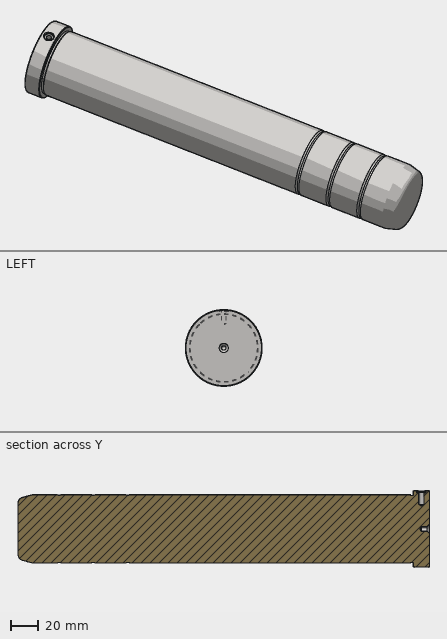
import cadquery as cq
import math

LENGTH = 300.0
BODY_RADIUS = 25.0
COLLAR_RADIUS = 28.0
COLLAR_LENGTH = 12.0
COLLAR_CHAMFER = 0.5

RELIEF_LENGTH = 2.0
RELIEF_DEPTH = 0.5
RELIEF_RUNOUT = 0.5

TAPER_START = 289.3
TAPER_ANGLE = math.radians(15)
RIM_ROUND = 4.5

GROOVE_COUNT = 3
FIRST_GROOVE_X = 220.0
GROOVE_PITCH = 25.0
GROOVE_WIDTH = 3.0
GROOVE_DEPTH = 0.5

CENTER_HOLE_DIAMETER = 3.2
CENTER_MOUTH_DIAMETER = 6.7
CENTER_CONE_ANGLE = math.radians(90)
CENTER_HOLE_DEPTH = 6.0

RIM_BORE_DIAMETER = 6.6
RIM_MOUTH_DIAMETER = 8.0
RIM_CONE_ANGLE = math.radians(90)
RIM_BORE_DEPTH = 1.5
RIM_PILOT_DIAMETER = 3.6
RIM_PILOT_DEPTH = 10.0

DRILL_POINT_ANGLE = math.radians(118)


def pillar():
    relief_radius = BODY_RADIUS - RELIEF_DEPTH
    relief_end = COLLAR_LENGTH + RELIEF_LENGTH

    rim_center_x = LENGTH - RIM_ROUND
    rim_start_x = rim_center_x + RIM_ROUND * math.sin(TAPER_ANGLE)
    rim_start_r = BODY_RADIUS - (rim_start_x - TAPER_START) * math.tan(TAPER_ANGLE)
    rim_center_r = rim_start_r - RIM_ROUND * math.cos(TAPER_ANGLE)
    middle_angle = (TAPER_ANGLE + math.pi / 2) / 2
    rim_middle = (
        rim_center_x + RIM_ROUND * math.sin(middle_angle),
        rim_center_r + RIM_ROUND * math.cos(middle_angle),
    )

    profile = (
        cq.Workplane("XZ")
        .lineTo(0, COLLAR_RADIUS - COLLAR_CHAMFER)
        .lineTo(COLLAR_CHAMFER, COLLAR_RADIUS)
        .lineTo(COLLAR_LENGTH - COLLAR_CHAMFER, COLLAR_RADIUS)
        .lineTo(COLLAR_LENGTH, COLLAR_RADIUS - COLLAR_CHAMFER)
        .lineTo(COLLAR_LENGTH, relief_radius)
        .lineTo(relief_end - RELIEF_RUNOUT, relief_radius)
        .lineTo(relief_end, BODY_RADIUS)
        .lineTo(TAPER_START, BODY_RADIUS)
        .lineTo(rim_start_x, rim_start_r)
        .threePointArc(rim_middle, (LENGTH, rim_center_r))
        .lineTo(LENGTH, 0)
        .close()
    )
    return profile.revolve(360, (0, 0, 0), (1, 0, 0))


def ring_groove(center_x):
    return (
        cq.Workplane("XZ")
        .moveTo(center_x - GROOVE_WIDTH / 2, BODY_RADIUS)
        .lineTo(center_x, BODY_RADIUS - GROOVE_DEPTH)
        .lineTo(center_x + GROOVE_WIDTH / 2, BODY_RADIUS)
        .close()
        .revolve(360, (0, 0, 0), (1, 0, 0))
    )


def cylinder(mouth, direction, diameter, depth):
    return cq.Solid.makeCylinder(diameter / 2, depth, mouth, direction)


def conical_mouth(mouth, direction, mouth_diameter, hole_diameter, cone_angle):
    cone_depth = (mouth_diameter - hole_diameter) / 2 / math.tan(cone_angle / 2)
    return cq.Solid.makeCone(mouth_diameter / 2, hole_diameter / 2, cone_depth, mouth, direction)


def drilled_hole(mouth, direction, diameter, depth):
    """Blind hole with a conical bottom; depth is the length of the cylindrical part."""
    point_depth = diameter / 2 / math.tan(DRILL_POINT_ANGLE / 2)
    point = cq.Solid.makeCone(diameter / 2, 0, point_depth, mouth + direction * depth, direction)
    return cylinder(mouth, direction, diameter, depth).fuse(point)


def center_hole():
    mouth = cq.Vector(0, 0, 0)
    inward = cq.Vector(1, 0, 0)
    hole = drilled_hole(mouth, inward, CENTER_HOLE_DIAMETER, CENTER_HOLE_DEPTH)
    cone = conical_mouth(mouth, inward, CENTER_MOUTH_DIAMETER, CENTER_HOLE_DIAMETER, CENTER_CONE_ANGLE)
    return hole.fuse(cone)


def rim_hole():
    mouth = cq.Vector(COLLAR_LENGTH / 2, 0, COLLAR_RADIUS)
    inward = cq.Vector(0, 0, -1)
    pilot = drilled_hole(mouth, inward, RIM_PILOT_DIAMETER, RIM_PILOT_DEPTH)
    bore = cylinder(mouth, inward, RIM_BORE_DIAMETER, RIM_BORE_DEPTH)
    cone = conical_mouth(mouth, inward, RIM_MOUTH_DIAMETER, RIM_BORE_DIAMETER, RIM_CONE_ANGLE)
    return pilot.fuse(bore, cone)


result = pillar()
for i in range(GROOVE_COUNT):
    result = result.cut(ring_groove(FIRST_GROOVE_X + i * GROOVE_PITCH))
result = result.cut(center_hole()).cut(rim_hole())